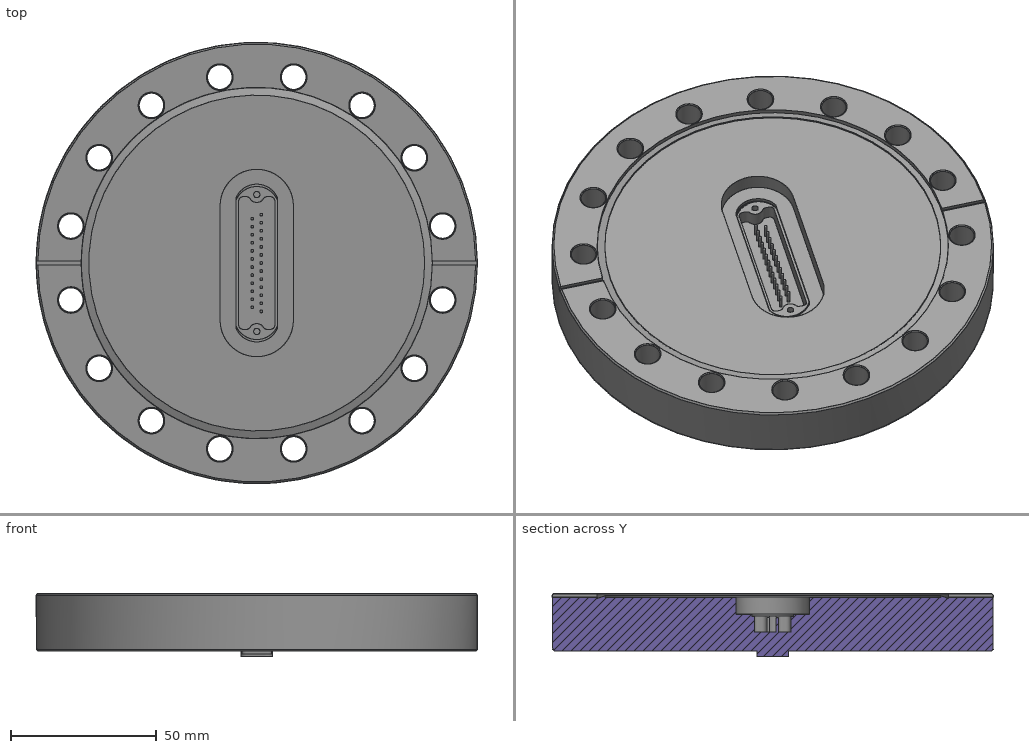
import cadquery as cq
import math

FLANGE_DIAMETER = 151.64
FLANGE_THICKNESS = 19.81
RIM_CHAMFER = 0.6

BOLT_COUNT = 16
BOLT_CIRCLE_DIAMETER = 130.25
BOLT_HOLE_DIAMETER = 8.43
BOLT_HOLE_CHAMFER = 0.35

RECESS_RADIUS = 60.33
RECESS_DEPTH = 1.6
KNIFE_RADIUS = 57.7
KNIFE_TIP_DEPTH = 0.65
FLOOR_DEPTH = 1.2

LEAK_GROOVE_WIDTH = 1.3
LEAK_GROOVE_DEPTH = 1.2

POCKET_LENGTH = 64.4
POCKET_WIDTH = 25.2
POCKET_DEPTH = 5.9

SEAT_LENGTH = 54.2
SEAT_WIDTH = 14.2
SEAT_END_RADIUS = 7.75
SEAT_DEPTH = 0.7
FACE_END_GAP = 0.8
FACE_GAP_DEPTH = 0.5

WELL_LENGTH = 45.6
WELL_WIDTH = 12.4
WELL_DEPTH = 5.4
WELL_CORNER_RADIUS = 1.5
SCREW_SPACING = 47.04
SCREW_HOLE_DIAMETER = 2.16
SCREW_BOSS_RADIUS = 2.7
BOSS_BLEND_RADIUS = 1.5

PIN_DIAMETER = 0.94
PIN_HEIGHT = 5.0
PIN_TIP_RADIUS = 0.4
PIN_PITCH = 2.77
PIN_ROW_OFFSET = 1.55
LONG_ROW_COUNT = 13
SHORT_ROW_COUNT = 12

BACK_PLATE_LENGTH = 52.9
BACK_PLATE_WIDTH = 10.3
BACK_PLATE_HEIGHT = 0.95
BACK_PLATE_CORNER_RADIUS = 1.6
OVERALL_HEIGHT = 21.65
SHELL_LENGTH = 41.3
SHELL_WIDTH = 10.9
SHELL_SLANT = math.radians(10)
SHELL_CORNER_RADIUS = 2.3

FLOOR_Z = FLANGE_THICKNESS - FLOOR_DEPTH
POCKET_Z = FLOOR_Z - POCKET_DEPTH
SEAT_Z = POCKET_Z - SEAT_DEPTH
WELL_Z = SEAT_Z - WELL_DEPTH


def make_flange():
    disc = cq.Workplane("XY").circle(FLANGE_DIAMETER / 2).extrude(FLANGE_THICKNESS)
    return disc.edges("%CIRCLE").chamfer(RIM_CHAMFER)


def sealing_recess():
    """Revolved cutter that leaves the knife edge standing around the inner floor."""
    profile = [
        (0, FLANGE_THICKNESS),
        (0, FLOOR_Z),
        (KNIFE_RADIUS, FLOOR_Z),
        (KNIFE_RADIUS, FLANGE_THICKNESS - KNIFE_TIP_DEPTH),
        (RECESS_RADIUS, FLANGE_THICKNESS - RECESS_DEPTH),
        (RECESS_RADIUS, FLANGE_THICKNESS),
    ]
    return cq.Workplane("XZ").polyline(profile).close().revolve(360, (0, 0, 0), (0, 1, 0))


def bolt_holes():
    """Through holes with a small chamfer at the top face."""
    first_angle = 180 / BOLT_COUNT
    radius = BOLT_HOLE_DIAMETER / 2
    profile = [
        (0, 0),
        (radius, 0),
        (radius, FLANGE_THICKNESS - BOLT_HOLE_CHAMFER),
        (radius + BOLT_HOLE_CHAMFER, FLANGE_THICKNESS),
        (0, FLANGE_THICKNESS),
    ]
    hole = cq.Workplane("XZ").polyline(profile).close().revolve(360, (0, 0, 0), (0, 1, 0))
    return (
        cq.Workplane("XY")
        .polarArray(BOLT_CIRCLE_DIAMETER / 2, first_angle, 360, BOLT_COUNT)
        .eachpoint(lambda place: hole.val().located(place))
    )


def leak_grooves():
    grooves = (
        cq.Workplane("XY", origin=(0, 0, FLANGE_THICKNESS))
        .rect(FLANGE_DIAMETER, LEAK_GROOVE_WIDTH)
        .extrude(-LEAK_GROOVE_DEPTH)
    )
    core = (
        cq.Workplane("XY", origin=(0, 0, FLANGE_THICKNESS))
        .circle(RECESS_RADIUS)
        .extrude(-LEAK_GROOVE_DEPTH)
    )
    return grooves.cut(core)


def connector_pocket():
    return (
        cq.Workplane("XY", origin=(0, 0, POCKET_Z))
        .slot2D(POCKET_LENGTH, POCKET_WIDTH, 90)
        .extrude(POCKET_DEPTH)
    )


def round_ended_block(length, bottom_z, height):
    """Straight-sided block whose ends are arcs of a radius larger than half its width."""
    half_width = SEAT_WIDTH / 2
    half_length = length / 2
    end_rise = SEAT_END_RADIUS - math.sqrt(SEAT_END_RADIUS**2 - half_width**2)
    shoulder_y = half_length - end_rise
    return (
        cq.Workplane("XY", origin=(0, 0, bottom_z))
        .moveTo(half_width, -shoulder_y)
        .lineTo(half_width, shoulder_y)
        .threePointArc((0, half_length), (-half_width, shoulder_y))
        .lineTo(-half_width, -shoulder_y)
        .threePointArc((0, -half_length), (half_width, -shoulder_y))
        .close()
        .extrude(height)
    )


def connector_seat():
    seat = round_ended_block(SEAT_LENGTH, SEAT_Z - FACE_GAP_DEPTH, SEAT_DEPTH + FACE_GAP_DEPTH)
    face = round_ended_block(SEAT_LENGTH - 2 * FACE_END_GAP, SEAT_Z - FACE_GAP_DEPTH, FACE_GAP_DEPTH)
    return seat.cut(face)


def contact_well():
    """Rectangular well, notched at both ends by the blended screw bosses."""
    screw_places = [(0, SCREW_SPACING / 2), (0, -SCREW_SPACING / 2)]
    well = (
        cq.Workplane("XY", origin=(0, 0, WELL_Z))
        .rect(WELL_WIDTH, WELL_LENGTH)
        .extrude(WELL_DEPTH)
        .edges("|Z")
        .fillet(WELL_CORNER_RADIUS)
    )
    bosses = (
        cq.Workplane("XY", origin=(0, 0, WELL_Z))
        .pushPoints(screw_places)
        .circle(SCREW_BOSS_RADIUS)
        .extrude(WELL_DEPTH)
    )
    well = well.cut(bosses)
    boss_zone = cq.selectors.BoxSelector(
        (-SCREW_BOSS_RADIUS, -WELL_LENGTH, WELL_Z),
        (SCREW_BOSS_RADIUS, WELL_LENGTH, SEAT_Z),
    )
    well = well.edges("|Z").edges(boss_zone).fillet(BOSS_BLEND_RADIUS)
    screw_holes = (
        cq.Workplane("XY", origin=(0, 0, WELL_Z))
        .pushPoints(screw_places)
        .circle(SCREW_HOLE_DIAMETER / 2)
        .extrude(WELL_DEPTH)
    )
    return well.union(screw_holes)


def pin_row(row_x, count):
    first_y = -(count - 1) * PIN_PITCH / 2
    places = [(row_x, first_y + i * PIN_PITCH) for i in range(count)]
    return (
        cq.Workplane("XY", origin=(0, 0, WELL_Z))
        .pushPoints(places)
        .circle(PIN_DIAMETER / 2)
        .extrude(PIN_HEIGHT)
        .faces(">Z")
        .edges()
        .fillet(PIN_TIP_RADIUS)
    )


def back_plate():
    return (
        cq.Workplane("XY")
        .rect(BACK_PLATE_WIDTH, BACK_PLATE_LENGTH)
        .extrude(-BACK_PLATE_HEIGHT)
        .edges("|Z")
        .fillet(BACK_PLATE_CORNER_RADIUS)
    )


def back_shell():
    """D-shaped shell, longer on the side of the long pin row."""
    half_width = SHELL_WIDTH / 2
    long_half = SHELL_LENGTH / 2
    short_half = long_half - SHELL_WIDTH * math.tan(SHELL_SLANT)
    outline = [
        (half_width, -long_half),
        (half_width, long_half),
        (-half_width, short_half),
        (-half_width, -short_half),
    ]
    return (
        cq.Workplane("XY")
        .polyline(outline)
        .close()
        .extrude(FLANGE_THICKNESS - OVERALL_HEIGHT)
        .edges("|Z")
        .fillet(SHELL_CORNER_RADIUS)
    )


result = make_flange()
for cutter in (
    sealing_recess(),
    bolt_holes(),
    leak_grooves(),
    connector_pocket(),
    connector_seat(),
    contact_well(),
):
    result = result.cut(cutter)

for addition in (
    pin_row(PIN_ROW_OFFSET, LONG_ROW_COUNT),
    pin_row(-PIN_ROW_OFFSET, SHORT_ROW_COUNT),
    back_plate(),
    back_shell(),
):
    result = result.union(addition)